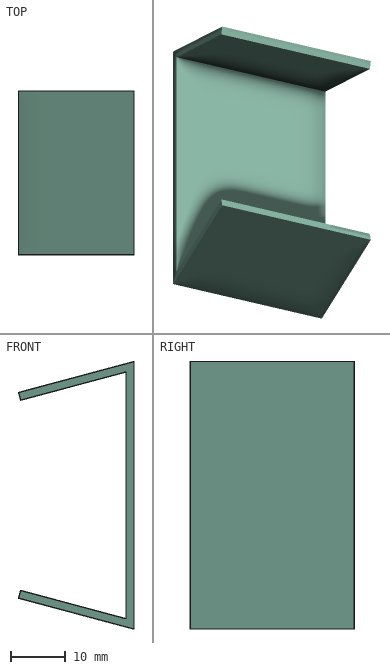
import math

import cadquery as cq

SHEET_THICKNESS = 1.5
WIDTH = 30.0
OVERALL_DEPTH = 21.14
OVERALL_HEIGHT = 48.95
FLANGE_TILT = math.radians(15.0)

CORNER_RISE = SHEET_THICKNESS * (1 / math.cos(FLANGE_TILT) + math.tan(FLANGE_TILT))

OUTER_HALF_HEIGHT = OVERALL_HEIGHT / 2
INNER_HALF_HEIGHT = OUTER_HALF_HEIGHT - CORNER_RISE


def upper_profile():
    """XZ points of the upper half, from the outer corner round to the inner corner."""
    outer_corner = (0, OUTER_HALF_HEIGHT)
    tip_x = -OVERALL_DEPTH
    tip_z = OUTER_HALF_HEIGHT - OVERALL_DEPTH * math.tan(FLANGE_TILT)
    outer_tip = (tip_x, tip_z)
    inner_tip = (
        tip_x + SHEET_THICKNESS * math.sin(FLANGE_TILT),
        tip_z - SHEET_THICKNESS * math.cos(FLANGE_TILT),
    )
    inner_corner = (-SHEET_THICKNESS, INNER_HALF_HEIGHT)
    return [outer_corner, outer_tip, inner_tip, inner_corner]


def make_clip():
    """Web with two mirrored, inward-leaning flanges, centred on Y and Z."""
    upper = upper_profile()
    lower = [(x, -z) for x, z in reversed(upper)]
    return cq.Workplane("XZ").polyline(upper + lower).close().extrude(WIDTH / 2, both=True)


result = make_clip()